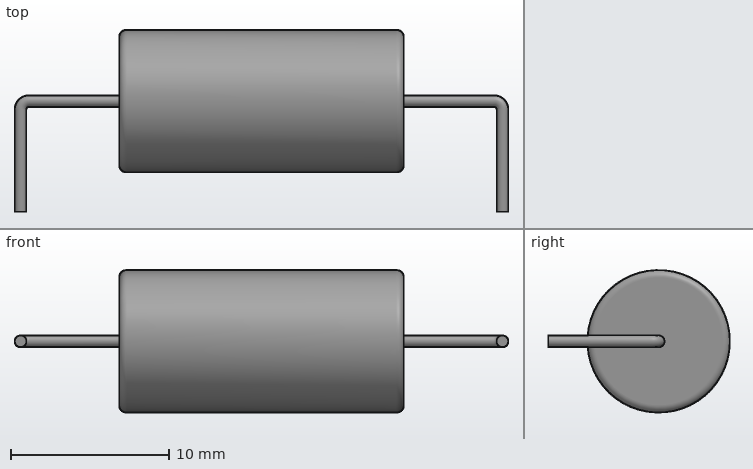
import cadquery as cq

overall_length = 31.23
body_length = 18.02
body_diameter = 9.03
body_edge_radius = 0.47
lead_diameter = 0.75
lead_drop = 7.0
bend_radius = 0.53

lead_radius = lead_diameter / 2
leg_x = overall_length / 2 - lead_radius
bend_start_x = leg_x - bend_radius


def make_body():
    """Cylinder along X, centred on the origin, with rounded end rims."""
    return (
        cq.Workplane("YZ", origin=(-body_length / 2, 0, 0))
        .circle(body_diameter / 2)
        .extrude(body_length)
        .edges("%CIRCLE")
        .fillet(body_edge_radius)
    )


def make_leads():
    """One round wire through the body, with both ends bent towards -Y."""
    path = (
        cq.Workplane("XY")
        .moveTo(-leg_x, -lead_drop)
        .lineTo(-leg_x, -bend_radius)
        .tangentArcPoint((-bend_start_x, 0), relative=False)
        .lineTo(bend_start_x, 0)
        .tangentArcPoint((leg_x, -bend_radius), relative=False)
        .lineTo(leg_x, -lead_drop)
    )
    tip_plane = cq.Plane(origin=(-leg_x, -lead_drop, 0), xDir=(1, 0, 0), normal=(0, 1, 0))
    return cq.Workplane(tip_plane).circle(lead_radius).sweep(path)


result = make_body().union(make_leads())